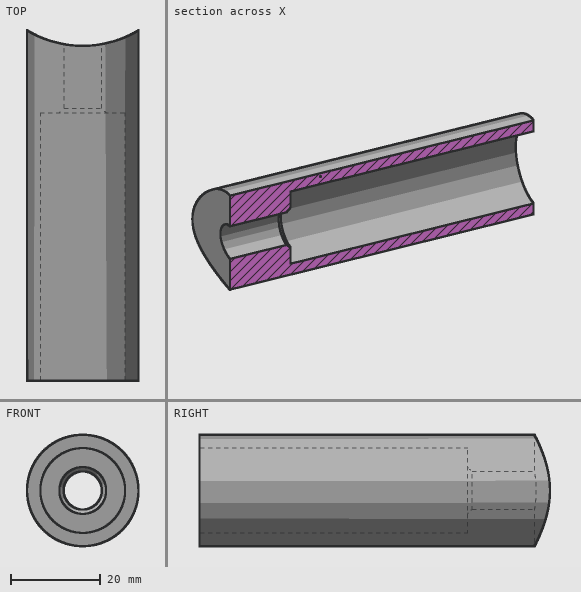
import cadquery as cq
import math

outer_diameter = 25.0
bore_diameter = 19.0
outer_radius = outer_diameter / 2

pipe_diameter = 48.3
pipe_radius = pipe_diameter / 2
center_length = 75.0
saddle_depth = pipe_radius - math.sqrt(pipe_radius**2 - outer_radius**2)
overall_length = center_length + saddle_depth

wall_thickness = 15.0
bore_depth = center_length - wall_thickness
hole_diameter = 8.5
countersink_diameter = 10.5
countersink_depth = (countersink_diameter - hole_diameter) / 2


def rod_along_y(diameter, start, length):
    """Solid cylinder on the Y axis running from y = start towards +Y."""
    plane = cq.Plane(origin=(0, start, 0), xDir=(1, 0, 0), normal=(0, 1, 0))
    return cq.Workplane(plane).circle(diameter / 2).extrude(length)


def saddle_pipe():
    """Pipe along Z whose surface touches the tube axis at the center length."""
    return (
        cq.Workplane("XY")
        .center(0, center_length + pipe_radius)
        .circle(pipe_radius)
        .extrude(outer_diameter, both=True)
    )


def countersink():
    """Cone narrowing from the bore floor into the through hole."""
    cone = cq.Solid.makeCone(
        countersink_diameter / 2,
        hole_diameter / 2,
        countersink_depth,
        pnt=cq.Vector(0, bore_depth, 0),
        dir=cq.Vector(0, 1, 0),
    )
    return cq.Workplane(cone)


body = rod_along_y(outer_diameter, 0, overall_length).cut(saddle_pipe())
body = body.cut(rod_along_y(bore_diameter, 0, bore_depth))
body = body.cut(rod_along_y(hole_diameter, 0, overall_length))
result = body.cut(countersink())